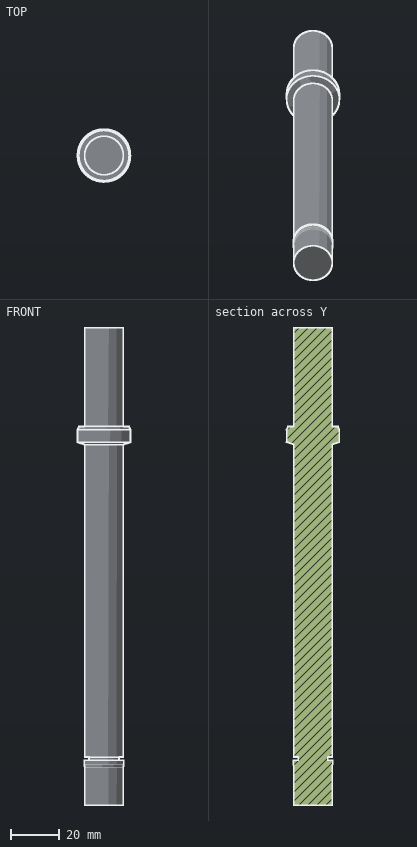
import cadquery as cq

length = 197.5
shaft_radius = 16.0 / 2

collar_radius = 22.0 / 2
collar_bottom = 149.1
collar_top = 156.6
collar_top_chamfer_height = 1.4
collar_top_chamfer_depth = 0.5
collar_cone_height = 1.0

groove_radius = 12.5 / 2
groove_top = 20.0
groove_width = 1.2
land_radius = 16.4 / 2
land_width = 1.8
taper_height = 1.2

groove_bottom = groove_top - groove_width
land_bottom = groove_bottom - land_width
taper_bottom = land_bottom - taper_height


def make_shaft():
    """Revolve the stepped half-profile of the shaft about Z."""
    profile = [
        (0, 0),
        (shaft_radius, 0),
        (shaft_radius, taper_bottom),
        (land_radius, land_bottom),
        (land_radius, groove_bottom),
        (groove_radius, groove_bottom),
        (groove_radius, groove_top),
        (shaft_radius, groove_top),
        (shaft_radius, length),
        (0, length),
    ]
    return cq.Workplane("XZ").polyline(profile).close().revolve(360, (0, 0), (0, 1))


def make_collar():
    """Revolve the collar with its steep upper chamfer and shallow cone down to the shaft."""
    profile = [
        (0, collar_bottom),
        (shaft_radius, collar_bottom),
        (collar_radius, collar_bottom + collar_cone_height),
        (collar_radius, collar_top - collar_top_chamfer_height),
        (collar_radius - collar_top_chamfer_depth, collar_top),
        (0, collar_top),
    ]
    return cq.Workplane("XZ").polyline(profile).close().revolve(360, (0, 0), (0, 1))


result = make_shaft().union(make_collar())